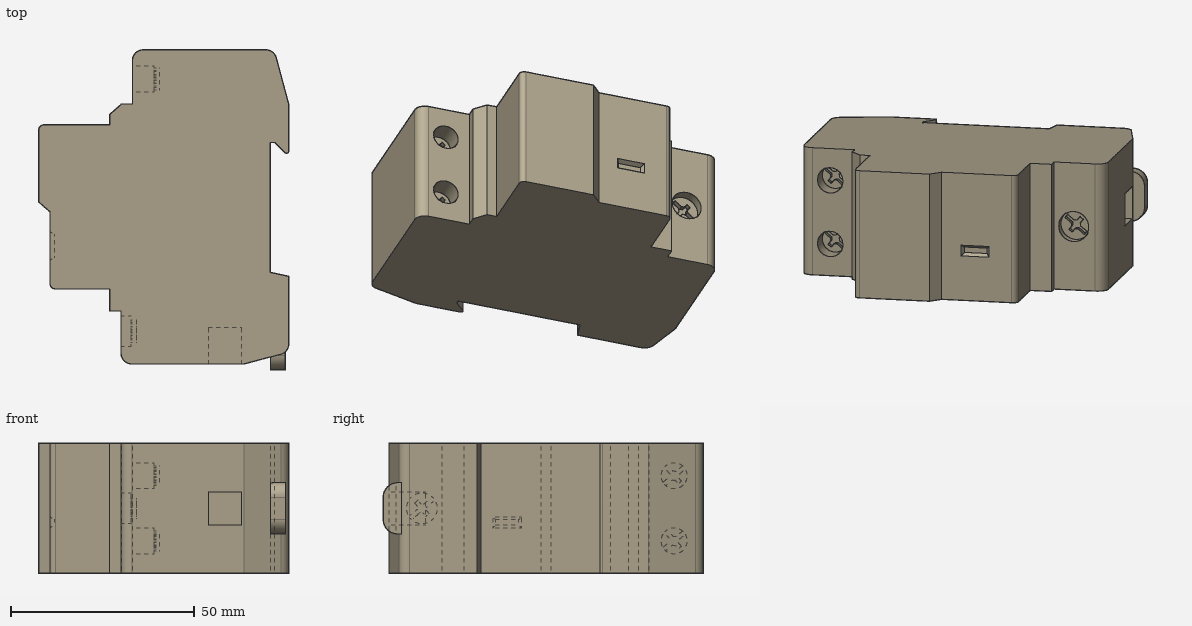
import cadquery as cq
import math


DEPTH = 68.4
LENGTH = 85.9
WIDTH = 35.6
SIDE_SLOPE = math.tan(math.radians(15))

LOWER_FRONT_X = 3.1
SHOULDER_X = 19.4
LOWER_TERMINAL_X = 22.5
UPPER_TERMINAL_X = 25.6
BEVEL_END_X = 22.7

LOWER_TERMINAL_TOP = 14.5
FRONT_BOTTOM = 20.5
FRONT_RAMP_BOTTOM = 41.6
FRONT_RAMP_TOP = 44.3
FRONT_TOP = 65.4
BEVEL_BOTTOM = 68.2
UPPER_TERMINAL_BOTTOM = 71.1

RAIL_X = DEPTH - 5.1
RAIL_BOTTOM = 25.1
RAIL_LIP_BOTTOM = 24.0
RAIL_TOP = 60.5
HOOK_FLAT = 1.2
LOWER_SLOPE_X = 56.1
UPPER_SLOPE_BOTTOM = 70.9

CORNER_RADIUS = 3.0
FRONT_RADIUS = 1.5
HOOK_RADIUS = 0.7

CLIP_LENGTH = 4.1
CLIP_WIDTH = 14.0
CLIP_RADIUS = 4.0
CLIP_DROP = 1.6
CLIP_TOP = 8.0

LOWER_SCREW_DEPTH = 2.8
UPPER_SCREW_DEPTH = 6.0
LOWER_SCREW_DIAMETER = 8.4
LOWER_SCREW_Y = 9.0
UPPER_SCREW_DIAMETER = 7.1
UPPER_SCREW_Y = 77.9
UPPER_SCREW_SPACING = 17.8
DRIVE_ANGLE = 40
DRIVE_LONG = 7.1
DRIVE_SHORT = 4.8
DRIVE_SLOT_WIDTH = 1.15
DRIVE_CENTRE_DIAMETER = 2.5
DRIVE_DEPTH = 1.5

WIRE_ENTRY_SIZE = 9.0
WIRE_ENTRY_X = 50.9
WIRE_ENTRY_DEPTH = 10.0

WINDOW_LENGTH = 7.8
WINDOW_HEIGHT = 3.0
WINDOW_INSET = 0.75
WINDOW_DEPTH = 1.2
WINDOW_Y = 32.3
WINDOW_Z = -3.85


def front_plane(x, y, z):
    """Plane parallel to the front face whose normal points into the housing and local x along +Y."""
    return cq.Plane(origin=(x, y, z), xDir=(0, 1, 0), normal=(1, 0, 0))


def round_edge(body, x, y, radius):
    """Fillet the upright edge that passes through (x, y)."""
    reach = 0.05
    corner_box = cq.selectors.BoxSelector(
        (x - reach, y - reach, -WIDTH), (x + reach, y + reach, WIDTH)
    )
    return body.edges("|Z").edges(corner_box).fillet(radius)


def make_housing():
    hook_tip = (DEPTH, RAIL_TOP - (DEPTH - RAIL_X - HOOK_FLAT))
    lower_back = (DEPTH, (DEPTH - LOWER_SLOPE_X) * SIDE_SLOPE)
    upper_back = (DEPTH - (LENGTH - UPPER_SLOPE_BOTTOM) * SIDE_SLOPE, LENGTH)
    lower_end = (LOWER_TERMINAL_X, 0)
    upper_end = (UPPER_TERMINAL_X, LENGTH)
    lower_front = (LOWER_FRONT_X, FRONT_BOTTOM)
    upper_front = (0, FRONT_TOP)
    outline = [
        lower_end,
        (LOWER_SLOPE_X, 0),
        lower_back,
        (DEPTH, RAIL_LIP_BOTTOM),
        (RAIL_X, RAIL_BOTTOM),
        (RAIL_X, RAIL_TOP),
        (RAIL_X + HOOK_FLAT, RAIL_TOP),
        hook_tip,
        (DEPTH, UPPER_SLOPE_BOTTOM),
        upper_back,
        upper_end,
        (UPPER_TERMINAL_X, UPPER_TERMINAL_BOTTOM),
        (BEVEL_END_X, UPPER_TERMINAL_BOTTOM),
        (SHOULDER_X, BEVEL_BOTTOM),
        (SHOULDER_X, FRONT_TOP),
        upper_front,
        (0, FRONT_RAMP_TOP),
        (LOWER_FRONT_X, FRONT_RAMP_BOTTOM),
        lower_front,
        (SHOULDER_X, FRONT_BOTTOM),
        (SHOULDER_X, LOWER_TERMINAL_TOP),
        (LOWER_TERMINAL_X, LOWER_TERMINAL_TOP),
    ]
    body = cq.Workplane("XY").polyline(outline).close().extrude(WIDTH / 2, both=True)
    for corner in (lower_end, lower_back, upper_back, upper_end):
        body = round_edge(body, *corner, CORNER_RADIUS)
    for corner in (lower_front, upper_front):
        body = round_edge(body, *corner, FRONT_RADIUS)
    return round_edge(body, *hook_tip, HOOK_RADIUS)


def make_rail_clip():
    height = CLIP_TOP + CLIP_DROP
    centre_y = (CLIP_TOP - CLIP_DROP) / 2
    return (
        cq.Workplane("XY")
        .box(CLIP_LENGTH, height, CLIP_WIDTH)
        .edges("|X and <Y")
        .fillet(CLIP_RADIUS)
        .translate((RAIL_X + CLIP_LENGTH / 2, centre_y, 0))
    )


def make_screw_recess(face_x, y, z, diameter, depth):
    """Round screw well with a combined slot and cross drive sunk in its floor."""
    total_depth = depth + DRIVE_DEPTH
    face = front_plane(face_x, y, z)
    drive = cq.Workplane(face).circle(DRIVE_CENTRE_DIAMETER / 2).extrude(total_depth)
    for length, angle in ((DRIVE_LONG, DRIVE_ANGLE), (DRIVE_SHORT, DRIVE_ANGLE + 90)):
        slot = (
            cq.Workplane(face)
            .transformed(rotate=(0, 0, angle))
            .rect(length, DRIVE_SLOT_WIDTH)
            .extrude(total_depth)
        )
        drive = drive.union(slot)
    shaft = cq.Workplane(face).circle(diameter / 2).extrude(total_depth)
    well = cq.Workplane(face).circle(diameter / 2).extrude(depth)
    return well.union(drive.intersect(shaft))


def make_wire_entry():
    return cq.Workplane("XY").box(
        WIRE_ENTRY_SIZE, WIRE_ENTRY_DEPTH, WIRE_ENTRY_SIZE
    ).translate((WIRE_ENTRY_X, WIRE_ENTRY_DEPTH / 2, 0))


def make_window():
    taper = math.degrees(math.atan(WINDOW_INSET / WINDOW_DEPTH))
    return (
        cq.Workplane(front_plane(LOWER_FRONT_X, WINDOW_Y, WINDOW_Z))
        .rect(WINDOW_LENGTH, WINDOW_HEIGHT)
        .extrude(WINDOW_DEPTH, taper=taper)
    )


result = make_housing().union(make_rail_clip())
result = result.cut(
    make_screw_recess(LOWER_TERMINAL_X, LOWER_SCREW_Y, 0, LOWER_SCREW_DIAMETER, LOWER_SCREW_DEPTH)
)
for side in (-1, 1):
    screw_z = side * UPPER_SCREW_SPACING / 2
    result = result.cut(
        make_screw_recess(
            UPPER_TERMINAL_X, UPPER_SCREW_Y, screw_z, UPPER_SCREW_DIAMETER, UPPER_SCREW_DEPTH
        )
    )
result = result.cut(make_wire_entry())
result = result.cut(make_window())